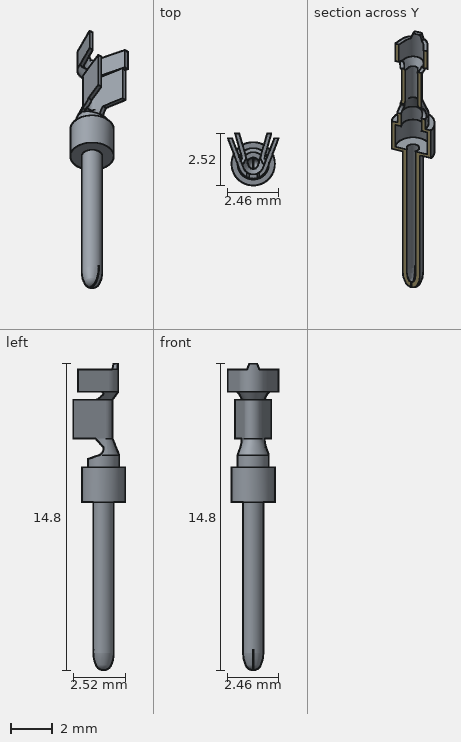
import cadquery as cq
import math

sheet = 0.2

pin_radius = 0.5
collar_radius = 1.05
barrel_radius = 0.76
wire_radius = 0.44
insulation_radius = 0.71

slit_top = 0.98
collar_bottom = 8.10
collar_top = 9.79
barrel_top = 10.37
wire_bottom = 11.17
wire_top = 13.04
insulation_bottom = 13.42
insulation_top = 14.50
overall_height = 14.78

ogive_radius = 1.42
cap_radius = 0.40
ogive_center_x = pin_radius - ogive_radius
tip_center_distance = ogive_radius - cap_radius
ogive_top = cap_radius + math.sqrt(tip_center_distance**2 - ogive_center_x**2)
slit_width = 0.04

wire_arm_x = 0.88
wire_arm_y = 1.47
insulation_arm_x = 1.23
insulation_arm_y = 1.24

neck_y = 0.5
notch_reach = 2.0
notch_root_y = 0.015
rim_back_height = 10.18

rim_front = (0.31, 10.345)
rim_curve_middle = (0.10, 10.45)
barrel_root_bottom = (notch_root_y, 10.62)
barrel_root_top = (notch_root_y, 10.75)
barrel_notch_end_y = 0.39

insulation_notch_start_y = 0.40
lower_curve_middle = (0.295, 13.063)
lower_curve_end = (0.20, 13.125)
upper_curve_start = (0.05, 13.27)
upper_curve_middle = (notch_root_y, 13.345)
insulation_notch_end_y = 0.09

tab_base_half_width = 0.30
tab_top_half_width = 0.19


def at_radius(radius, angle):
    return (radius * math.cos(angle), radius * math.sin(angle))


def shell_of_revolution(offset):
    """Pin, collar and barrel, with every surface moved inward by offset."""
    shaft_r = pin_radius - offset
    ogive_r = ogive_radius - offset
    cap_r = cap_radius - offset
    tangent_angle = -math.acos(-ogive_center_x / tip_center_distance)

    def on_ogive(angle):
        x, z = at_radius(ogive_r, angle)
        return (ogive_center_x + x, ogive_top + z)

    def on_cap(angle):
        x, z = at_radius(cap_r, angle)
        return (x, cap_radius + z)

    cap_mid_angle = (tangent_angle - math.pi / 2) / 2
    return (
        cq.Workplane("XZ")
        .moveTo(*on_cap(-math.pi / 2))
        .threePointArc(on_cap(cap_mid_angle), on_cap(tangent_angle))
        .threePointArc(on_ogive(tangent_angle / 2), (shaft_r, ogive_top))
        .lineTo(shaft_r, collar_bottom + offset)
        .lineTo(collar_radius - offset, collar_bottom + offset)
        .lineTo(collar_radius - offset, collar_top - offset)
        .lineTo(barrel_radius - offset, collar_top - offset)
        .lineTo(barrel_radius - offset, barrel_top)
        .lineTo(0, barrel_top)
        .close()
        .revolve(360, (0, 0, 0), (0, 1, 0))
    )


def arm_spread(radius, tip_x, tip_y):
    """Lean from +Y of an arm that leaves a circle tangentially and ends at its tip."""
    return math.acos(radius / math.hypot(tip_x, tip_y)) - math.atan2(tip_y, tip_x)


def trough(radius, spread, end_y, z, round_arms=False):
    """Closed U outline at height z, with straight arms or arms that follow the circle."""
    inner_radius = radius - sheet

    def wall(r):
        """Start, middle and end of the right arm of a wall, from its tangent point."""
        start = at_radius(r, -spread)
        if round_arms:
            end_angle = math.asin(end_y / r)
            middle = at_radius(r, (end_angle - spread) / 2)
            return start, middle, at_radius(r, end_angle)
        end_x = start[0] + (end_y - start[1]) * math.tan(spread)
        return start, None, (end_x, end_y)

    def mirrored(point):
        return (-point[0], point[1])

    def arm(sketch, middle, end):
        if middle:
            return sketch.threePointArc(middle, end)
        return sketch.lineTo(*end)

    out_start, out_middle, out_end = wall(radius)
    in_start, in_middle, in_end = wall(inner_radius)
    out_left_middle = mirrored(out_middle) if round_arms else None
    in_left_middle = mirrored(in_middle) if round_arms else None

    outline = cq.Workplane("XY", origin=(0, 0, z)).moveTo(*mirrored(out_end))
    outline = arm(outline, out_left_middle, mirrored(out_start))
    outline = outline.threePointArc((0, -radius), out_start)
    outline = arm(outline, out_middle, out_end)
    outline = outline.lineTo(*in_end)
    outline = arm(outline, in_middle, in_start)
    outline = outline.threePointArc((0, -inner_radius), mirrored(in_start))
    outline = arm(outline, in_left_middle, mirrored(in_end))
    return outline.close()


def neck(lower, upper):
    """Ruled sheet between two trough outlines."""
    return cq.Workplane(cq.Solid.makeLoft([lower.val(), upper.val()], True))


def across(profile):
    """Extrude a YZ profile through the whole width of the part."""
    return profile.close().extrude(collar_radius * 2, both=True)


def barrel_notch():
    """Opening above the barrel mouth: slanted rim, rounded root, slope up to the wire crimp."""
    return across(
        cq.Workplane("YZ")
        .moveTo(barrel_radius, rim_back_height)
        .lineTo(*rim_front)
        .threePointArc(rim_curve_middle, barrel_root_bottom)
        .lineTo(*barrel_root_top)
        .lineTo(barrel_notch_end_y, wire_bottom)
        .lineTo(notch_reach, wire_bottom)
        .lineTo(notch_reach, rim_back_height)
    )


def insulation_notch():
    """Opening between the wire arms and the insulation arms, rounded at both ends."""
    return across(
        cq.Workplane("YZ")
        .moveTo(insulation_notch_start_y, wire_top)
        .threePointArc(lower_curve_middle, lower_curve_end)
        .lineTo(*upper_curve_start)
        .threePointArc(upper_curve_middle, (insulation_notch_end_y, insulation_bottom))
        .lineTo(notch_reach, insulation_bottom)
        .lineTo(notch_reach, wire_top)
    )


def tip_slit():
    """Narrow slit across the pin tip."""
    return cq.Workplane("XY").box(
        slit_width, 2 * pin_radius, slit_top, centered=(True, True, False)
    )


def tab():
    """Tapered stub of the insulation trough floor."""
    taper = (
        cq.Workplane("XZ")
        .moveTo(-tab_base_half_width, insulation_top)
        .lineTo(tab_base_half_width, insulation_top)
        .lineTo(tab_top_half_width, overall_height)
        .lineTo(-tab_top_half_width, overall_height)
        .close()
        .extrude(insulation_radius)
    )
    floor = trough(insulation_radius, insulation_spread, insulation_arm_y, insulation_top)
    return floor.extrude(overall_height - insulation_top).intersect(taper)


wire_spread = arm_spread(wire_radius, wire_arm_x, wire_arm_y)
insulation_spread = arm_spread(insulation_radius, insulation_arm_x, insulation_arm_y)

body = shell_of_revolution(0).cut(shell_of_revolution(sheet)).cut(tip_slit())

barrel_neck = neck(
    trough(barrel_radius, wire_spread, neck_y, barrel_top, round_arms=True),
    trough(wire_radius, wire_spread, neck_y, wire_bottom),
)
body = body.union(barrel_neck).cut(barrel_notch())

insulation_neck = neck(
    trough(wire_radius, wire_spread, neck_y, wire_top),
    trough(insulation_radius, insulation_spread, neck_y, insulation_bottom),
).cut(insulation_notch())

wire_crimp = trough(wire_radius, wire_spread, wire_arm_y, wire_bottom).extrude(wire_top - wire_bottom)
insulation_crimp = trough(
    insulation_radius, insulation_spread, insulation_arm_y, insulation_bottom
).extrude(insulation_top - insulation_bottom)

result = body.union(wire_crimp).union(insulation_neck).union(insulation_crimp).union(tab())